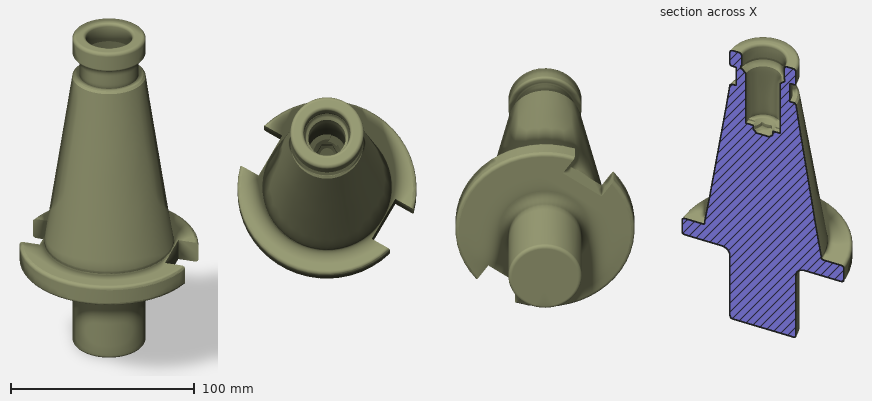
import cadquery as cq
import math

TOTAL_HEIGHT = 191.8
FLANGE_BOTTOM = 49.9
FLANGE_THICKNESS = 11.9
FLANGE_TOP = FLANGE_BOTTOM + FLANGE_THICKNESS
LAND_HEIGHT = 2.0
TAPER_BASE = FLANGE_TOP + LAND_HEIGHT
TAPER_TOP = 167.6
COLLAR_HEIGHT = 11.5
COLLAR_BOTTOM = TOTAL_HEIGHT - COLLAR_HEIGHT

SHANK_RADIUS = 20.0
FLANGE_RADIUS = 48.7
TAPER_BASE_RADIUS = 35.1
TAPER_TOP_RADIUS = SHANK_RADIUS
NECK_RADIUS = 16.1
COLLAR_RADIUS = SHANK_RADIUS

EDGE_ROUND = 2.0
COLLAR_LOWER_ROUND = 1.3
TAPER_TOP_CHAMFER = 1.2
SHANK_FILLET = 5.0
LAND_FILLET = 0.5
NECK_FILLET = 0.8

SLOT_WIDTH = 25.7
SLOT_FLOOR = 35.5
SLOT_OVERCUT = 2.0

MOUTH_ROUND = 1.7
COUNTERBORE_RADIUS = 12.7
COUNTERBORE_DEPTH = 11.1
RELIEF_RADIUS = 13.0
RELIEF_HEIGHT = 1.7
BORE_RADIUS = 10.2
BORE_DEPTH = 48.0
BORE_FLOOR = TOTAL_HEIGHT - BORE_DEPTH

GROOVE_WIDTH = 5.4
GROOVE_DEPTH = 1.0
LEAD_IN_RADIUS = 7.3
HEX_ACROSS_FLATS = 10.0
HEX_CIRCUMRADIUS = HEX_ACROSS_FLATS / math.sqrt(3)
HEX_DEPTH = 5.8
HEX_FLOOR_RADIUS = 3.8


def revolve_about_z(profile):
    """Turn a closed radius-height profile in the XZ plane about the Z axis."""
    return profile.revolve(360, (0, 0, 0), (0, 1, 0))


def make_body():
    """Solid of shank, flange, taper, neck and collar."""
    profile = (
        cq.Workplane("XZ")
        .lineTo(SHANK_RADIUS - EDGE_ROUND, 0)
        .radiusArc((SHANK_RADIUS, EDGE_ROUND), -EDGE_ROUND)
        .lineTo(SHANK_RADIUS, FLANGE_BOTTOM - SHANK_FILLET)
        .radiusArc((SHANK_RADIUS + SHANK_FILLET, FLANGE_BOTTOM), SHANK_FILLET)
        .lineTo(FLANGE_RADIUS - EDGE_ROUND, FLANGE_BOTTOM)
        .radiusArc((FLANGE_RADIUS, FLANGE_BOTTOM + EDGE_ROUND), -EDGE_ROUND)
        .lineTo(FLANGE_RADIUS, FLANGE_TOP - EDGE_ROUND)
        .radiusArc((FLANGE_RADIUS - EDGE_ROUND, FLANGE_TOP), -EDGE_ROUND)
        .lineTo(TAPER_BASE_RADIUS + LAND_FILLET, FLANGE_TOP)
        .radiusArc((TAPER_BASE_RADIUS, FLANGE_TOP + LAND_FILLET), LAND_FILLET)
        .lineTo(TAPER_BASE_RADIUS, TAPER_BASE)
        .lineTo(TAPER_TOP_RADIUS, TAPER_TOP - TAPER_TOP_CHAMFER)
        .lineTo(TAPER_TOP_RADIUS - TAPER_TOP_CHAMFER, TAPER_TOP)
        .lineTo(NECK_RADIUS, TAPER_TOP)
        .lineTo(NECK_RADIUS, COLLAR_BOTTOM - NECK_FILLET)
        .radiusArc((NECK_RADIUS + NECK_FILLET, COLLAR_BOTTOM), NECK_FILLET)
        .lineTo(COLLAR_RADIUS - COLLAR_LOWER_ROUND, COLLAR_BOTTOM)
        .radiusArc((COLLAR_RADIUS, COLLAR_BOTTOM + COLLAR_LOWER_ROUND), -COLLAR_LOWER_ROUND)
        .lineTo(COLLAR_RADIUS, TOTAL_HEIGHT - EDGE_ROUND)
        .radiusArc((COLLAR_RADIUS - EDGE_ROUND, TOTAL_HEIGHT), -EDGE_ROUND)
        .lineTo(0, TOTAL_HEIGHT)
        .close()
    )
    return revolve_about_z(profile)


def make_drive_slots():
    """Two rectangular notches through the flange, tall enough to clear the fillet on its top."""
    length = FLANGE_RADIUS - SLOT_FLOOR + SLOT_OVERCUT
    center = SLOT_FLOOR + length / 2
    return (
        cq.Workplane("XY", origin=(0, 0, FLANGE_BOTTOM))
        .pushPoints([(-center, 0), (center, 0)])
        .rect(length, SLOT_WIDTH)
        .extrude(FLANGE_THICKNESS + LAND_HEIGHT)
    )


def make_bore():
    """Rounded mouth, counterbore with a relief at its foot, 45 degree cone and blind bore."""
    step = TOTAL_HEIGHT - COUNTERBORE_DEPTH
    cone_height = COUNTERBORE_RADIUS - BORE_RADIUS
    profile = (
        cq.Workplane("XZ")
        .moveTo(0, BORE_FLOOR)
        .lineTo(BORE_RADIUS, BORE_FLOOR)
        .lineTo(BORE_RADIUS, step - cone_height)
        .lineTo(COUNTERBORE_RADIUS, step)
        .lineTo(RELIEF_RADIUS, step)
        .lineTo(RELIEF_RADIUS, step + RELIEF_HEIGHT)
        .lineTo(COUNTERBORE_RADIUS, step + RELIEF_HEIGHT)
        .lineTo(COUNTERBORE_RADIUS, TOTAL_HEIGHT - MOUTH_ROUND)
        .radiusArc((COUNTERBORE_RADIUS + MOUTH_ROUND, TOTAL_HEIGHT), MOUTH_ROUND)
        .lineTo(0, TOTAL_HEIGHT)
        .close()
    )
    return revolve_about_z(profile)


def make_groove():
    """Shallow straight groove along Y, reaching the bore wall at both ends."""
    bore_disc = cq.Workplane("XY", origin=(0, 0, BORE_FLOOR)).circle(BORE_RADIUS).extrude(-GROOVE_DEPTH)
    return (
        cq.Workplane("XY", origin=(0, 0, BORE_FLOOR))
        .rect(GROOVE_WIDTH, 2 * BORE_RADIUS)
        .extrude(-GROOVE_DEPTH)
        .intersect(bore_disc)
    )


def make_lead_in():
    """45 degree cone that opens the mouth of the hexagon."""
    inner_radius = HEX_ACROSS_FLATS / 2
    depth = LEAD_IN_RADIUS - inner_radius
    profile = (
        cq.Workplane("XZ", origin=(0, 0, BORE_FLOOR))
        .lineTo(LEAD_IN_RADIUS, 0)
        .lineTo(inner_radius, -depth)
        .lineTo(0, -depth)
        .close()
    )
    return revolve_about_z(profile)


def make_hexagon():
    """Hexagon with corners on the Y axis, narrowing to a round floor."""
    envelope_profile = (
        cq.Workplane("XZ", origin=(0, 0, BORE_FLOOR - HEX_DEPTH))
        .lineTo(HEX_FLOOR_RADIUS, 0)
        .lineTo(HEX_CIRCUMRADIUS, HEX_CIRCUMRADIUS - HEX_FLOOR_RADIUS)
        .lineTo(HEX_CIRCUMRADIUS, HEX_DEPTH)
        .lineTo(0, HEX_DEPTH)
        .close()
    )
    return (
        cq.Workplane("XY", origin=(0, 0, BORE_FLOOR))
        .polygon(6, 2 * HEX_CIRCUMRADIUS)
        .extrude(-HEX_DEPTH)
        .rotate((0, 0, 0), (0, 0, 1), 30)
        .intersect(revolve_about_z(envelope_profile))
    )


result = make_body()
for cutter in (make_drive_slots(), make_bore(), make_groove(), make_lead_in(), make_hexagon()):
    result = result.cut(cutter)